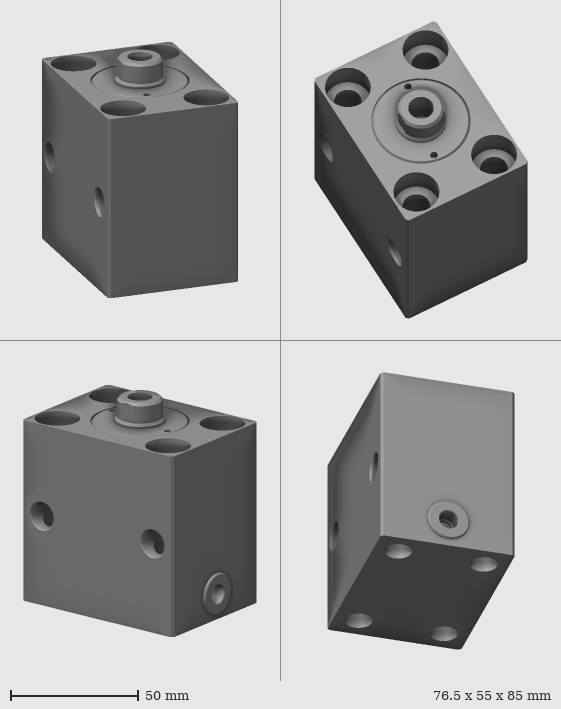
import cadquery as cq
import math

BLOCK_X = 75.0
BLOCK_Y = 55.0
TOTAL_HEIGHT = 85
ROD_STICKOUT = 10.0
BLOCK_Z = TOTAL_HEIGHT - ROD_STICKOUT
EDGE_CHAMFER = 1.0

MOUNT_SPACING_X = 55.0
MOUNT_SPACING_Y = 35.0
MOUNT_DIA = 11.0
COUNTERBORE_DIA = 18.0
COUNTERBORE_DEPTH = 11.0
CROSS_HOLE_Z = 37.0
CROSS_HOLE_CHAMFER = 0.5

CAP_DIA = 39.1
CAP_THICKNESS = 15.0
CAP_CHAMFER = 1.0
SPANNER_HOLE_DIA = 3.0
SPANNER_HOLE_DEPTH = 4.0
SPANNER_CIRCLE_RADIUS = 16.5
SPANNER_ANGLE = -11.3

ROD_DIA = 20.1
ROD_TIP_DIA = 18.0
ROD_TIP_CHAMFER = 1.0
ROD_COLLAR_HEIGHT = 0.85
ROD_SHOULDER_HEIGHT = ROD_COLLAR_HEIGHT + (ROD_DIA - ROD_TIP_DIA) / 2
ROD_ACROSS_FLATS = 17
ROD_HOLE_DIA = 10.0
ROD_HOLE_DEPTH = 15.0
DRILL_POINT_ANGLE = 118

TOTAL_X = 76.5
FLANGE_DIA = 17
FLANGE_THICKNESS = TOTAL_X - BLOCK_X
FLANGE_CHAMFER = 0.5
SHANK_DIA = FLANGE_DIA - 2 * FLANGE_CHAMFER
SHANK_LENGTH = 6.8
BUSHING_Z = 11.05
PORT_DIA = 7.8
PORT_CHAMFER = 0.3
PORT_THROAT_DIA = 6.6
PORT_THROAT_LENGTH = 1.0


def cylinder_z(diameter, height, z_bottom):
    return cq.Workplane("XY", origin=(0, 0, z_bottom)).circle(diameter / 2).extrude(height)


def make_housing():
    block = (
        cq.Workplane("XY")
        .box(BLOCK_X, BLOCK_Y, BLOCK_Z, centered=(True, True, False))
        .edges("|Z")
        .chamfer(EDGE_CHAMFER)
    )

    block = (
        block.faces(">Z")
        .workplane(origin=(0, 0, BLOCK_Z))
        .rarray(MOUNT_SPACING_X, MOUNT_SPACING_Y, 2, 2)
        .cboreHole(MOUNT_DIA, COUNTERBORE_DIA, COUNTERBORE_DEPTH)
    )

    mouth_radius = MOUNT_DIA / 2 + CROSS_HOLE_CHAMFER
    half_y = BLOCK_Y / 2
    cross_profile = [
        (0, -half_y),
        (mouth_radius, -half_y),
        (MOUNT_DIA / 2, -half_y + CROSS_HOLE_CHAMFER),
        (MOUNT_DIA / 2, half_y - CROSS_HOLE_CHAMFER),
        (mouth_radius, half_y),
        (0, half_y),
    ]
    cross_hole = cq.Workplane("XY").polyline(cross_profile).close().revolve(360, (0, 0), (0, 1))
    for side in (-1, 1):
        block = block.cut(cross_hole.translate((side * MOUNT_SPACING_X / 2, 0, CROSS_HOLE_Z)))

    block = block.cut(cylinder_z(CAP_DIA, CAP_THICKNESS, BLOCK_Z - CAP_THICKNESS))
    bushing_seat = (
        cq.Workplane("YZ", origin=(-BLOCK_X / 2, 0, BUSHING_Z))
        .circle(SHANK_DIA / 2)
        .extrude(SHANK_LENGTH)
    )
    return block.cut(bushing_seat)


def make_cap():
    cap = cylinder_z(CAP_DIA, CAP_THICKNESS, BLOCK_Z - CAP_THICKNESS)
    cap = cap.faces(">Z").edges().chamfer(CAP_CHAMFER)
    cap = cap.cut(cylinder_z(ROD_DIA, CAP_THICKNESS, BLOCK_Z - CAP_THICKNESS))
    spanner_holes = (
        cq.Workplane("XY", origin=(0, 0, BLOCK_Z))
        .polarArray(SPANNER_CIRCLE_RADIUS, SPANNER_ANGLE, 360, 2)
        .circle(SPANNER_HOLE_DIA / 2)
        .extrude(-SPANNER_HOLE_DEPTH)
    )
    return cap.cut(spanner_holes)


def make_rod():
    hole_radius = ROD_HOLE_DIA / 2
    hole_floor_z = TOTAL_HEIGHT - ROD_HOLE_DEPTH
    point_height = hole_radius / math.tan(math.radians(DRILL_POINT_ANGLE / 2))
    tip_radius = ROD_TIP_DIA / 2
    shoulder_z = BLOCK_Z + ROD_SHOULDER_HEIGHT
    half_section = [
        (0, BLOCK_Z - CAP_THICKNESS),
        (ROD_DIA / 2, BLOCK_Z - CAP_THICKNESS),
        (ROD_DIA / 2, BLOCK_Z + ROD_COLLAR_HEIGHT),
        (tip_radius, shoulder_z),
        (tip_radius, TOTAL_HEIGHT - ROD_TIP_CHAMFER),
        (tip_radius - ROD_TIP_CHAMFER, TOTAL_HEIGHT),
        (hole_radius, TOTAL_HEIGHT),
        (hole_radius, hole_floor_z),
        (0, hole_floor_z - point_height),
    ]
    rod = cq.Workplane("XZ").polyline(half_section).close().revolve(360, (0, 0), (0, 1))

    for side in (-1, 1):
        flat_cutter = cq.Workplane("XY").box(
            ROD_DIA, ROD_DIA, TOTAL_HEIGHT - shoulder_z, centered=(True, True, False)
        )
        flat_y = side * (ROD_ACROSS_FLATS + ROD_DIA) / 2
        rod = rod.cut(flat_cutter.translate((0, flat_y, shoulder_z)))
    return rod


def make_bushing():
    port_radius = PORT_DIA / 2
    throat_radius = PORT_THROAT_DIA / 2
    flange_radius = FLANGE_DIA / 2
    shank_radius = SHANK_DIA / 2
    inner_end = FLANGE_THICKNESS + SHANK_LENGTH
    throat_start = inner_end - PORT_THROAT_LENGTH
    half_section = [
        (0, port_radius + PORT_CHAMFER),
        (0, flange_radius - FLANGE_CHAMFER),
        (FLANGE_CHAMFER, flange_radius),
        (FLANGE_THICKNESS - FLANGE_CHAMFER, flange_radius),
        (FLANGE_THICKNESS, shank_radius),
        (inner_end, shank_radius),
        (inner_end, throat_radius),
        (throat_start, throat_radius),
        (throat_start - (port_radius - throat_radius), port_radius),
        (PORT_CHAMFER, port_radius),
    ]
    bushing = cq.Workplane("XZ").polyline(half_section).close().revolve(360, (0, 0), (1, 0))
    return bushing.translate((BLOCK_X / 2 - TOTAL_X, 0, BUSHING_Z))


housing = make_housing()
cap = make_cap()
rod = make_rod()
bushing = make_bushing()

result = cq.Compound.makeCompound([housing.val(), cap.val(), rod.val(), bushing.val()])